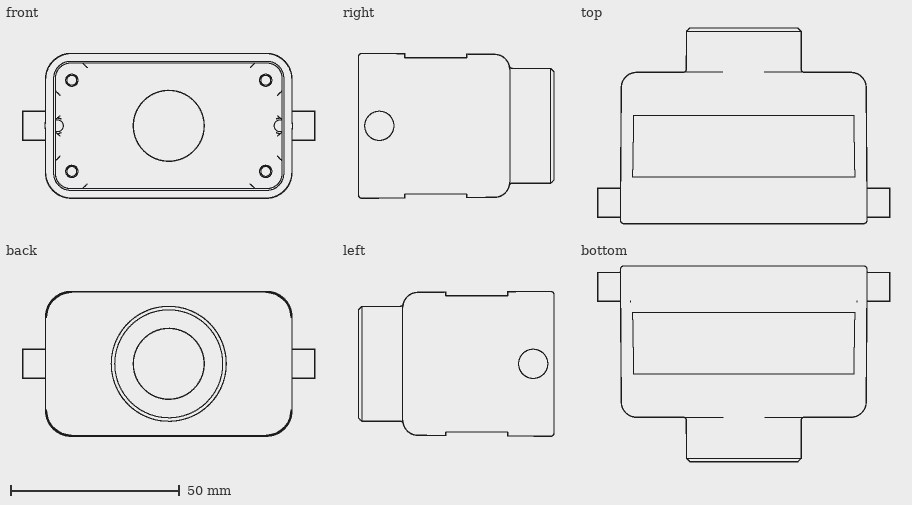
import cadquery as cq


shell_length = 44.9
shell_height = 43.0
corner_half_width = 36.4
side_crown = 0.2
corner_radius = 7.6
shell_draft = 0.4
back_round = 4.6
front_round = 1.1

total_length = 58.0
neck_radius = 17.0
neck_chamfer = 1.0
neck_root_round = 0.9
cable_hole_radius = 10.5

pin_span = 86.5
pin_radius = 4.3
pin_y = 6.2

recess_front = 13.8
recess_back = 32.1
recess_depth = 1.3

cavity_half_width = 33.6
cavity_half_height = 18.6
cavity_corner_radius = 4.5
rim_chamfer = 0.5
insert_seat_y = 9.5
back_wall = 3.0
floor_y = shell_length - back_wall
deep_length = floor_y - insert_seat_y
cavity_draft = 1.2
floor_round = 0.9

post_x = 28.9
post_z = 13.75
post_radius = 3.4
post_edge_round = 0.4
screw_hole_x = 28.7
screw_hole_z = 13.5
screw_hole_radius = 1.5
screw_hole_chamfer = 0.35
screw_hole_depth = 10.4

rib_x = 32.95
rib_radius = 1.7


def plane_at(y):
    """Sketch plane facing +Y: local x is X, local y is -Z."""
    return cq.Workplane(cq.Plane(origin=(0, y, 0), xDir=(1, 0, 0), normal=(0, 1, 0)))


def make_shell():
    """Solid outer shell with slightly bowed sides and rounded edges."""
    half_height = shell_height / 2
    mid_half_width = corner_half_width + side_crown
    shell = (
        plane_at(0)
        .moveTo(-corner_half_width, -half_height)
        .lineTo(corner_half_width, -half_height)
        .threePointArc((mid_half_width, 0), (corner_half_width, half_height))
        .lineTo(-corner_half_width, half_height)
        .threePointArc((-mid_half_width, 0), (-corner_half_width, -half_height))
        .close()
        .extrude(shell_length, taper=shell_draft)
    )
    shell = shell.faces(">Z or <Z").edges("not #Y").fillet(corner_radius)
    shell = shell.faces(">Y").edges().fillet(back_round)
    return shell.faces("<Y").edges().fillet(front_round)


def add_neck(hood):
    """Chamfered round neck with a rounded root where it meets the shell."""
    neck = plane_at(floor_y).circle(neck_radius).extrude(total_length - floor_y)
    neck = neck.faces(">Y").edges().chamfer(neck_chamfer)
    hood = hood.union(neck)
    root_zone = cq.selectors.BoxSelector(
        (-pin_span, shell_length - neck_root_round, -pin_span),
        (pin_span, shell_length + neck_root_round, pin_span),
    )
    return hood.faces("%CYLINDER").faces(">Y").edges(root_zone).fillet(neck_root_round)


def add_pins(hood):
    pins = (
        cq.Workplane("YZ", origin=(-pin_span / 2, pin_y, 0))
        .circle(pin_radius)
        .extrude(pin_span)
    )
    return hood.union(pins)


def cut_label_recesses(hood):
    """Flat recesses that run out through the rounded long corners of the shell."""
    floor_z = shell_height / 2 - recess_depth
    cutter = (
        cq.Workplane("XY", origin=(0, recess_front, floor_z))
        .box(pin_span, recess_back - recess_front, shell_height, centered=(True, False, False))
    )
    return hood.cut(cutter).cut(cutter.mirror("XY"))


def make_post(side_x, side_z):
    """Drafted corner post with a rounded inner corner, reaching past the cavity walls."""
    reach = 17.3
    centre_offset = reach / 2 - post_radius
    post = (
        plane_at(insert_seat_y)
        .center(side_x * (post_x + centre_offset), -side_z * (post_z + centre_offset))
        .sketch()
        .rect(reach, reach)
        .vertices()
        .fillet(post_radius)
        .finalize()
        .extrude(deep_length, taper=-cavity_draft)
    )
    return post.faces("<Y").edges().fillet(post_edge_round)


def make_rib(side_x):
    """Drafted half-round rib, reaching past the cavity wall."""
    reach = 8.65
    return (
        plane_at(insert_seat_y)
        .center(side_x * (rib_x + reach / 2 - rib_radius), 0)
        .slot2D(reach, 2 * rib_radius)
        .extrude(deep_length, taper=-cavity_draft)
    )


def cavity_outline(y, margin=0.0):
    return (
        plane_at(y)
        .sketch()
        .rect(2 * (cavity_half_width + margin), 2 * (cavity_half_height + margin))
        .vertices()
        .fillet(cavity_corner_radius + margin)
        .finalize()
    )


def make_cavity():
    """Hollow of the hood: flared rim, plain front stage, then a drafted stage with posts and ribs."""
    cavity = cavity_outline(insert_seat_y).extrude(deep_length, taper=cavity_draft)
    for side_x in (-1, 1):
        cavity = cavity.cut(make_rib(side_x))
        for side_z in (-1, 1):
            cavity = cavity.cut(make_post(side_x, side_z))
    cavity = cavity.faces(">Y").edges().fillet(floor_round)
    rim_flare = cavity_outline(0, rim_chamfer).extrude(rim_chamfer, taper=45)
    return cavity.union(cavity_outline(0).extrude(insert_seat_y)).union(rim_flare)


def cut_screw_holes(hood):
    for side_x in (-1, 1):
        for side_z in (-1, 1):
            mouth = plane_at(insert_seat_y).center(side_x * screw_hole_x, side_z * screw_hole_z)
            hole = mouth.circle(screw_hole_radius).extrude(screw_hole_depth)
            mouth_radius = screw_hole_radius + screw_hole_chamfer
            countersink = mouth.circle(mouth_radius).extrude(screw_hole_chamfer, taper=45)
            hood = hood.cut(hole).cut(countersink)
    return hood


def cut_cable_hole(hood):
    return hood.cut(plane_at(insert_seat_y).circle(cable_hole_radius).extrude(total_length))


hood = add_neck(make_shell())
hood = add_pins(hood)
hood = cut_label_recesses(hood)
hood = hood.cut(make_cavity())
hood = cut_screw_holes(hood)
result = cut_cable_hole(hood)